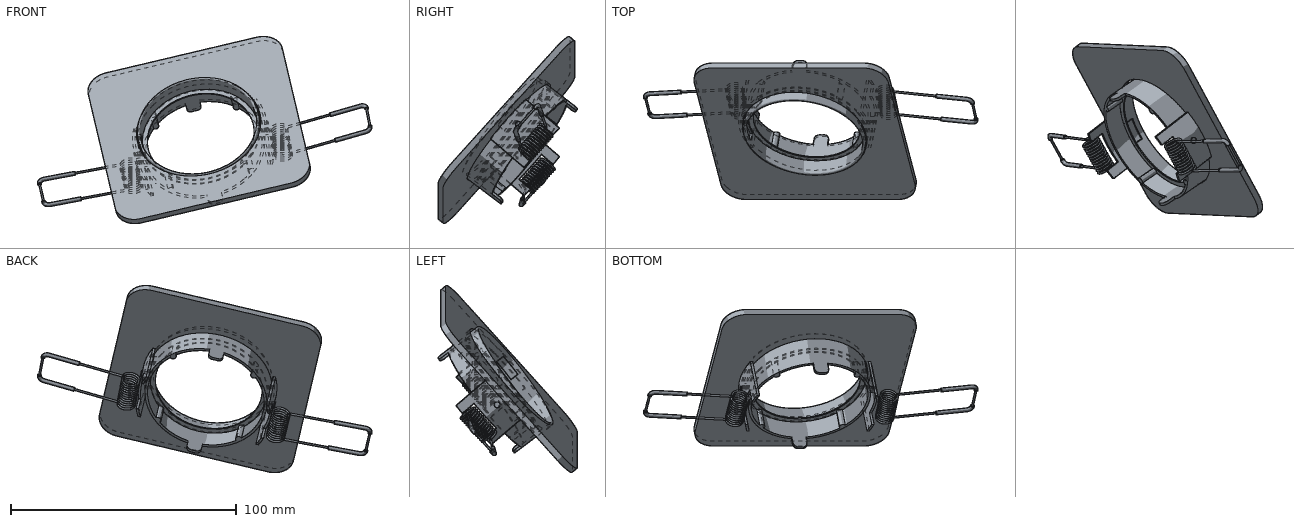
import cadquery as cq

LEAN = 48.7
SWING = 13.3

PLATE_SIDE = 88.4
PLATE_THICKNESS = 3.0
PLATE_CORNER_RADIUS = 10.0
HOLE_RADIUS = 27.9

EAR_INNER_RADIUS = 29.0
EAR_THICKNESS = 1.0
EAR_WIDTH = 23.7
EAR_OFFSET = -0.6
EAR_BACK = -22.8
NOTCH_TOP = -16.0
NOTCH_WIDTH = 15.1

RING_TILT = 3.2
PIVOT_Z = -8.5
PIVOT_RADIUS = 1.3
PIVOT_PROUD = 0.5
RING_OUTER_RADIUS = 27.3
RING_WALL = 1.2
RING_FRONT = 1.8
RING_BACK = -14.8
RIM_FILLET = 0.52
LIP_TOP = -5.6
LIP_THICKNESS = 0.6
LIP_INNER_RADIUS = 23.9
TAB_WIDTH = 6.5
TAB_LENGTH = 5.5
TAB_CORNER_RADIUS = 2.4
RIB_RADIUS = 1.5
RIB_COUNT = 4
FIRST_RIB_ANGLE = 45
POCKET_WIDTH = 10.4
POCKET_DEPTH = 0.9
POCKET_TOP = -0.9
POCKET_FLOOR = -4.7

WIRE_RADIUS = 0.5
COIL_RADIUS = 3.7
COIL_TURNS = 12
COIL_X = 34.0
COIL_Z = -20.2
CLIP_REACH = 74.4
CLIP_SPAN = 15.4
ELBOW_RADIUS = 2.4
SLEEVE_RADIUS = 0.9
SLEEVE_LENGTH = 14.1

CLIP_POSES = (
    (0, -1.8, 6.0, -1.7),
    (180, 0.7, 4.0, 0.0),
)

ear_outer_radius = EAR_INNER_RADIUS + EAR_THICKNESS
ring_inner_radius = RING_OUTER_RADIUS - RING_WALL
clip_length = CLIP_REACH - COIL_X


def tube(outer_radius, inner_radius, z_low, z_high):
    """Hollow cylinder about Z between two heights."""
    return (
        cq.Workplane("XY")
        .workplane(offset=z_low)
        .circle(outer_radius)
        .circle(inner_radius)
        .extrude(z_high - z_low)
    )


def pivot_bar(radius, length):
    """Round bar along the pivot axis, centred on the lamp."""
    return cq.Workplane("YZ").center(0, PIVOT_Z).circle(radius).extrude(length / 2, both=True)


def make_ears():
    """Two curved ears at +X and -X, each with an open notch in its back edge."""
    width_slab = (
        cq.Workplane("XY").center(0, EAR_OFFSET).rect(PLATE_SIDE, EAR_WIDTH).extrude(EAR_BACK)
    )
    notch = (
        cq.Workplane("XY")
        .workplane(offset=EAR_BACK)
        .center(0, EAR_OFFSET)
        .rect(PLATE_SIDE, NOTCH_WIDTH)
        .extrude(NOTCH_TOP - EAR_BACK)
    )
    shell = tube(ear_outer_radius, EAR_INNER_RADIUS, EAR_BACK, -PLATE_THICKNESS)
    return shell.intersect(width_slab).cut(notch)


def make_plate():
    """Square plate with its round opening, ears and pivot holes."""
    plate = (
        cq.Workplane("XY")
        .rect(PLATE_SIDE, PLATE_SIDE)
        .extrude(-PLATE_THICKNESS)
        .edges("|Z")
        .fillet(PLATE_CORNER_RADIUS)
        .cut(cq.Workplane("XY").circle(HOLE_RADIUS).extrude(-PLATE_THICKNESS))
    )
    return plate.union(make_ears()).cut(pivot_bar(PIVOT_RADIUS, PLATE_SIDE))


def make_ring_wall():
    """Ring wall with a rounded front rim and a thin lip inside."""
    wall = (
        tube(RING_OUTER_RADIUS, ring_inner_radius, RING_BACK, RING_FRONT)
        .faces(">Z")
        .edges()
        .fillet(RIM_FILLET)
    )
    return wall.union(tube(RING_OUTER_RADIUS, LIP_INNER_RADIUS, LIP_TOP - LIP_THICKNESS, LIP_TOP))


def make_tabs():
    """Two tabs that carry the wall on backward at +Y and -Y, with rounded ends."""
    slab = (
        cq.Workplane("XY")
        .box(TAB_WIDTH, 2 * HOLE_RADIUS, 2 * TAB_LENGTH)
        .edges("|Y and <Z")
        .fillet(TAB_CORNER_RADIUS)
        .translate((0, 0, RING_BACK))
    )
    return tube(RING_OUTER_RADIUS, ring_inner_radius, RING_BACK - TAB_LENGTH, RING_BACK).intersect(slab)


def make_ribs():
    """Round ribs inside the wall, from the lip to the back edge."""
    ribs = (
        cq.Workplane("XY")
        .workplane(offset=RING_BACK)
        .polarArray(ring_inner_radius, FIRST_RIB_ANGLE, 360, RIB_COUNT)
        .circle(RIB_RADIUS)
        .extrude(LIP_TOP - RING_BACK)
    )
    return ribs.intersect(cq.Workplane("XY").circle(RING_OUTER_RADIUS).extrude(RING_BACK))


def make_pockets():
    """Shallow recesses to cut into the inner wall at +X and -X, above the lip."""
    slab = (
        cq.Workplane("XY")
        .workplane(offset=POCKET_FLOOR)
        .rect(2 * HOLE_RADIUS, POCKET_WIDTH)
        .extrude(POCKET_TOP - POCKET_FLOOR)
    )
    return tube(ring_inner_radius + POCKET_DEPTH, LIP_INNER_RADIUS, POCKET_FLOOR, POCKET_TOP).intersect(slab)


def make_pivot_pins():
    """Two pins from the ring wall out through the ears."""
    bore = cq.Workplane("XY").circle(ring_inner_radius).extrude(EAR_BACK)
    return pivot_bar(PIVOT_RADIUS, 2 * (ear_outer_radius + PIVOT_PROUD)).cut(bore)


def make_ring():
    """Lamp ring turned about its pivot axis."""
    ring = make_ring_wall().union(make_tabs()).union(make_ribs()).cut(make_pockets()).union(make_pivot_pins())
    return ring.rotate((0, 0, PIVOT_Z), (1, 0, PIVOT_Z), RING_TILT)


def rod(radius, start_x, end_x, z):
    """Straight round rod along X at a height z."""
    return cq.Workplane("YZ").workplane(offset=start_x).center(0, z).circle(radius).extrude(end_x - start_x)


def make_coil():
    """Helical spring about Z, with both ends on the +X side."""
    path = cq.Wire.makeHelix(CLIP_SPAN / COIL_TURNS, CLIP_SPAN, COIL_RADIUS)
    return (
        cq.Workplane("XZ")
        .center(COIL_RADIUS, 0)
        .circle(WIRE_RADIUS)
        .sweep(cq.Workplane(path), isFrenet=True)
        .translate((0, 0, -CLIP_SPAN / 2))
    )


def make_arm():
    """Upper half of the loop: wire, sleeve, elbow and half of the end wire."""
    half_span = CLIP_SPAN / 2
    bend_x = clip_length - ELBOW_RADIUS
    bend_z = half_span - ELBOW_RADIUS
    wire = rod(WIRE_RADIUS, COIL_RADIUS, bend_x, half_span)
    sleeve = rod(SLEEVE_RADIUS, bend_x - SLEEVE_LENGTH, bend_x, half_span)
    elbow = (
        cq.Workplane("YZ")
        .workplane(offset=bend_x)
        .center(0, half_span)
        .circle(SLEEVE_RADIUS)
        .revolve(90, (-1.5, -ELBOW_RADIUS, 0), (1.5, -ELBOW_RADIUS, 0))
    )
    end_wire = cq.Workplane("XY").center(clip_length, 0).circle(WIRE_RADIUS).extrude(bend_z)
    return wire.union(sleeve).union(elbow).union(end_wire)


def make_clip(turn, offset, rise, yaw):
    """Clip in the lamp frame, with its loop reaching outward and rising."""
    arm = make_arm()
    clip = make_coil().union(arm).union(arm.mirror("XY"))
    return (
        clip.rotate((0, 0, 0), (1, 0, 0), 90)
        .rotate((0, 0, 0), (0, 1, 0), -rise)
        .rotate((0, 0, 0), (0, 0, 1), yaw)
        .translate((COIL_X, offset, COIL_Z))
        .rotate((0, 0, 0), (0, 0, 1), turn)
    )


def place(body):
    """Turn a body from the lamp frame to its final attitude."""
    return body.rotate((0, 0, 0), (1, 0, 0), LEAN).rotate((0, 0, 0), (0, 1, 0), -SWING)


plate = place(make_plate())
ring = place(make_ring())
clips = [place(make_clip(*pose)) for pose in CLIP_POSES]

result = cq.Compound.makeCompound([plate.val(), ring.val(), *[clip.val() for clip in clips]])